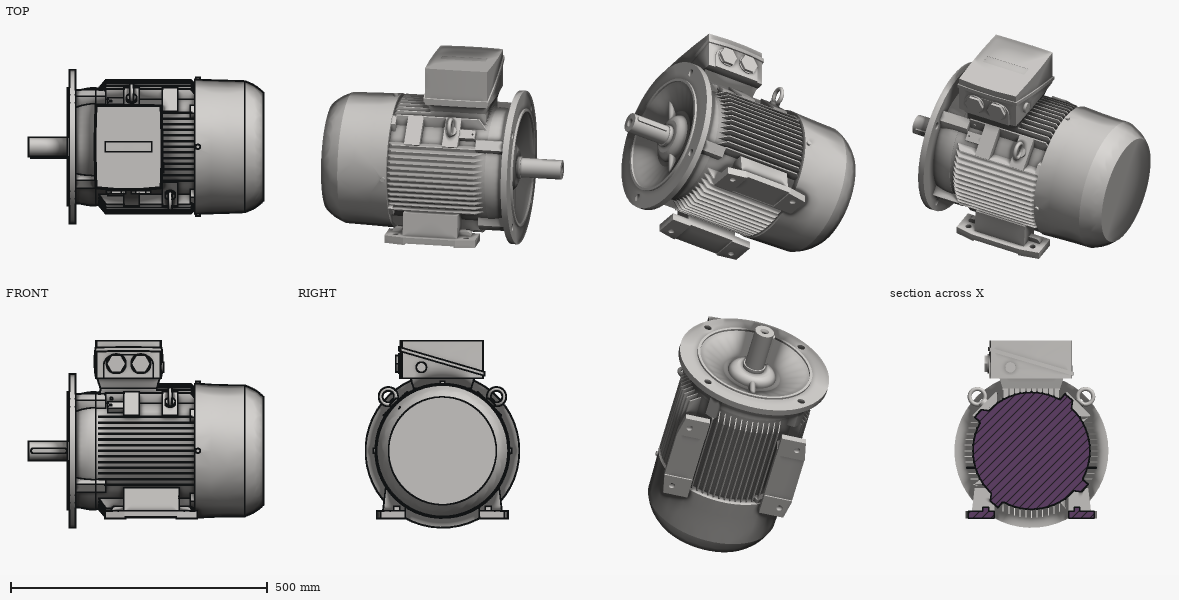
import cadquery as cq
import math


shaft_end_x = -80
spigot_x = -4
flange_back_x = 12
joint_x = 51
fin_start_x = 57
cover_x = 243.5
cover_shoulder_x = 341
cover_end_x = 378

shaft_radius = 19
collar_radius = 21.5
key_width = 10
key_length = 70
key_gap = 5
key_top_radius = 22
centre_hole_radius = 5
centre_hole_depth = 28
countersink_radius = 8.5
countersink_depth = 6

flange_radius = 150
spigot_radius = 115
bowl_radius = 110
bowl_rim_x = 0
bowl_floor_x = 22.5
bowl_floor_radius = 57
hub_radius = 48
hub_face_radius = 33
hub_face_x = 7.5
hub_bulge = 2
bolt_circle_radius = 132.5
bolt_hole_diameter = 15
barrel_front_radius = 109
barrel_mid_radius = 113.5
web_width = 12.5
web_front_x = 11.5
web_outer_radius = 95

lug_outline = [(-46, 88), (-65, 111), (-80.6, 98), (-76.5, 70)]
front_lug_end_x = 71
rear_lug_x = 235

core_radius = 114
fin_radius = 130.5
fin_pitch = 11
fins_each_side = 6
fin_thickness = 2
fin_front_run = 14
fin_rear_chamfer = 7.5
pad_face = 130
pad_depth = 45
pad_length = 30.5
pad_width = 65
front_pad_x = 121
rear_pad_x = 196
earth_face = 126
earth_start_x = 75
earth_width = 18.5
earth_depth = 25
earth_hole_diameter = 4
earth_hole_depth = 8
earth_hole_x = 80
earth_screw_radius = 2.5
earth_screw_height = 2
earth_screw_x = 81.5
earth_screw_z = 101.5

foot_bottom_z = -132
foot_top_z = -117
foot_start_x = 69
foot_end_x = 249
foot_outer_y = 128
foot_tip_y = 120.5
foot_inner_y = 72
foot_taper_front_x = 107
foot_taper_rear_x = 210
foot_relief = 3
foot_relief_inset = 2.5
foot_hole_diameter = 12
foot_hole_y = 108
foot_hole_xs = (89, 229)
leg_start_x = 105.5
leg_end_x = 213.5
leg_top_z = -72
leg_top_y = 110.5
leg_bottom_y = 116
rib_width = 12
rib_y = 89
rib_top_z = -107.5
rib_end_fillet = 8.5
rib_start_x = 81.5
rib_end_x = 238

cover_radius = 131
cover_shoulder_radius = 128
cover_end_radius = 105
cover_bulge = 2
cover_screw_x = 250
cover_screw_radius = 4.5
cover_screw_top = 135

box_x = 115
box_half_length = 62
box_end_bulge = 2
box_half_width = 78.5
box_front_bulge = 4
box_back_bulge = 1
box_bottom_z = 140.8
box_top_z = 214.5
neck_bottom_z = 121.5
neck_top_size = (122, 124)
neck_bottom_size = (110, 112)
lip_overhang = 2.5
lip_height = 7.5
lip_low_z = 149
lip_high_z = 198.5
entry_plate_y = -82.8
entry_plate_width = 97
entry_plate_top_z = 186.7
entry_plate_corner = 22
plug_z = 169.5
plug_spacing = 48
plug_flange_radius = 19
plug_flange_y = -85.2
plug_hex_diameter = 38
plug_head_y = -91
rear_plug_radius = 10
rear_plug_y = -41
rear_plug_z = 162.5
rear_plug_x = 184
badge_size = (90, 20)
badge_depth = 0.5

eye_ring_radius = 15
eye_wire_radius = 4
eye_collar_radius = 10
eye_collar_height = 6
eye_centre = 149

corner_angles = (0, 90, 180, 270)


def box_between(x0, x1, y0, y1, z0, z1):
    size = (x1 - x0, y1 - y0, z1 - z0)
    return cq.Workplane("XY").box(*size, centered=False).translate((x0, y0, z0))


def about_axis(body, angle):
    return body.rotate((0, 0, 0), (1, 0, 0), angle)


def corner_block(x0, x1, face, depth, width):
    """Block above the shaft whose outer face lies `face` from the axis."""
    return box_between(x0, x1, -width / 2, width / 2, face - depth, face)


def clamp_lugs(x0, x1):
    lug = cq.Workplane("YZ", origin=(x0, 0, 0)).polyline(lug_outline).close().extrude(x1 - x0)
    lugs = cq.Workplane("XY")
    for angle in corner_angles:
        lugs = lugs.add(about_axis(lug, angle))
    return lugs.combine()


def make_shaft():
    shaft = (
        cq.Workplane("YZ", origin=(shaft_end_x, 0, 0))
        .circle(shaft_radius)
        .extrude(joint_x - shaft_end_x)
    )
    collar = cq.Workplane("YZ").circle(collar_radius).extrude(joint_x)
    key = (
        cq.Workplane("XZ", origin=(shaft_end_x + key_gap + key_length / 2, 0, 0))
        .slot2D(key_length, key_width)
        .extrude(key_top_radius)
    )
    centre_hole = (
        cq.Workplane("XY")
        .moveTo(shaft_end_x, 0)
        .lineTo(shaft_end_x, countersink_radius)
        .lineTo(shaft_end_x + countersink_depth, centre_hole_radius)
        .lineTo(shaft_end_x + centre_hole_depth, centre_hole_radius)
        .lineTo(shaft_end_x + centre_hole_depth, 0)
        .close()
        .revolve(360, (0, 0, 0), (1, 0, 0))
    )
    return shaft.union(collar).union(key).cut(centre_hole)


def make_end_shield():
    hub_middle = (
        (hub_face_x + bowl_floor_x) / 2 - hub_bulge,
        (hub_face_radius + hub_radius) / 2 + hub_bulge,
    )
    shield = (
        cq.Workplane("XY")
        .moveTo(joint_x, collar_radius)
        .lineTo(hub_face_x, collar_radius)
        .lineTo(hub_face_x, hub_face_radius)
        .threePointArc(hub_middle, (bowl_floor_x, hub_radius))
        .lineTo(bowl_floor_x, bowl_floor_radius)
        .lineTo(bowl_rim_x, bowl_radius)
        .lineTo(spigot_x, bowl_radius)
        .lineTo(spigot_x, spigot_radius)
        .lineTo(0, spigot_radius)
        .lineTo(0, flange_radius)
        .lineTo(flange_back_x, flange_radius)
        .lineTo(flange_back_x, barrel_front_radius)
        .threePointArc(((flange_back_x + joint_x) / 2, barrel_mid_radius), (joint_x, spigot_radius))
        .close()
        .revolve(360, (0, 0, 0), (1, 0, 0))
    )
    shield = shield.union(clamp_lugs(flange_back_x, joint_x))

    nose_x = web_front_x + web_width / 2
    web = (
        cq.Workplane("XY", origin=(0, 0, hub_face_radius + web_width / 2))
        .moveTo(joint_x, web_width / 2)
        .lineTo(nose_x, web_width / 2)
        .threePointArc((web_front_x, 0), (nose_x, -web_width / 2))
        .lineTo(joint_x, -web_width / 2)
        .close()
        .extrude(web_outer_radius - hub_face_radius - web_width / 2)
    )
    shield = shield.union(web).union(about_axis(web, 180))

    bolt_offset = bolt_circle_radius * math.sqrt(2)
    bolt_holes = (
        cq.Workplane("YZ")
        .rect(bolt_offset, bolt_offset, forConstruction=True)
        .vertices()
        .circle(bolt_hole_diameter / 2)
        .extrude(flange_back_x)
    )
    return shield.cut(bolt_holes)


def cooling_fins():
    """Level fins on both sides and upright fins above and below, trimmed by one turned envelope."""
    slabs = cq.Workplane("XY")
    for index in range(-fins_each_side, fins_each_side + 1):
        low = index * fin_pitch - fin_thickness / 2
        high = low + fin_thickness
        level = box_between(fin_start_x, cover_x, -fin_radius, fin_radius, low, high)
        slabs = slabs.add(level).add(about_axis(level, 90))
    envelope = (
        cq.Workplane("XY")
        .moveTo(fin_start_x, 0)
        .lineTo(fin_start_x, core_radius)
        .lineTo(fin_start_x + fin_front_run, fin_radius)
        .lineTo(cover_x - fin_rear_chamfer, fin_radius)
        .lineTo(cover_x, fin_radius - fin_rear_chamfer)
        .lineTo(cover_x, 0)
        .close()
        .revolve(360, (0, 0, 0), (1, 0, 0))
    )
    return slabs.combine().intersect(envelope)


def corner_pads():
    """Pads for the eye bolts and earthing blocks, on both upper corners."""
    last_fin = fins_each_side * fin_pitch
    corner = box_between(0, cover_x, -pad_face, -last_fin, last_fin, pad_face)
    earth_end_x = front_pad_x - pad_length / 2
    pads = cq.Workplane("XY")
    for tilt in (45, -45):
        for middle in (front_pad_x, rear_pad_x):
            start = middle - pad_length / 2
            pad = corner_block(start, start + pad_length, pad_face, pad_depth, pad_width)
            pad = about_axis(pad, 45).intersect(corner)
            pads = pads.add(about_axis(pad, tilt - 45))
        earth = corner_block(earth_start_x, earth_end_x, earth_face, earth_depth, earth_width)
        screw_hole = (
            cq.Workplane("XY", origin=(earth_hole_x, 0, earth_face))
            .circle(earth_hole_diameter / 2)
            .extrude(-earth_hole_depth)
        )
        pads = pads.add(about_axis(earth.cut(screw_hole), tilt))
    return pads.combine()


def earth_screw():
    fin_face = fins_each_side * fin_pitch + fin_thickness / 2
    return (
        cq.Workplane("XZ", origin=(earth_screw_x, -fin_face, earth_screw_z))
        .circle(earth_screw_radius)
        .extrude(earth_screw_height)
    )


def make_foot():
    """The foot on the -Y side, with its leg and rib."""
    plate = (
        cq.Workplane("XY", origin=(0, 0, foot_bottom_z))
        .polyline([
            (foot_start_x, -foot_inner_y),
            (foot_start_x, -foot_tip_y),
            (foot_taper_front_x, -foot_outer_y),
            (foot_taper_rear_x, -foot_outer_y),
            (foot_end_x, -foot_tip_y),
            (foot_end_x, -foot_inner_y),
        ])
        .close()
        .extrude(foot_top_z - foot_bottom_z)
    )
    relief = box_between(
        foot_taper_front_x + foot_relief_inset, foot_taper_rear_x - foot_relief_inset,
        -foot_outer_y, -foot_inner_y,
        foot_bottom_z, foot_bottom_z + foot_relief,
    )
    holes = (
        cq.Workplane("XY", origin=(0, 0, foot_bottom_z))
        .pushPoints([(x, -foot_hole_y) for x in foot_hole_xs])
        .circle(foot_hole_diameter / 2)
        .extrude(foot_top_z - foot_bottom_z)
    )
    leg = (
        cq.Workplane("YZ", origin=(leg_start_x, 0, 0))
        .polyline([
            (-foot_inner_y, leg_top_z),
            (-leg_top_y, leg_top_z),
            (-leg_bottom_y, foot_top_z),
            (-foot_inner_y, foot_top_z),
        ])
        .close()
        .extrude(leg_end_x - leg_start_x)
    )
    rib = box_between(
        rib_start_x, rib_end_x, -rib_y - rib_width / 2, -rib_y + rib_width / 2, foot_top_z, rib_top_z
    )
    rib = rib.edges("|Y and >Z").fillet(rib_end_fillet)
    return plate.cut(relief).cut(holes).union(leg).union(rib)


def box_seat():
    """Raised seat below the terminal box neck."""
    length, width = neck_bottom_size
    seat_base_z = core_radius / 2
    return (
        cq.Workplane("XY", origin=(box_x, 0, seat_base_z))
        .rect(length, width)
        .extrude(neck_bottom_z - seat_base_z)
    )


def make_housing():
    core = (
        cq.Workplane("YZ", origin=(joint_x, 0, 0))
        .circle(core_radius)
        .extrude(cover_x - joint_x)
    )
    foot = make_foot()
    housing = core.union(cooling_fins()).union(box_seat())
    housing = housing.union(corner_pads()).union(earth_screw())
    housing = housing.union(clamp_lugs(joint_x, front_lug_end_x))
    housing = housing.union(clamp_lugs(rear_lug_x, cover_x).mirror("XY"))
    return housing.union(foot).union(foot.mirror("XZ"))


def make_fan_cover():
    arc_mid_x = (cover_shoulder_x + cover_end_x) / 2 + cover_bulge
    arc_mid_radius = (cover_shoulder_radius + cover_end_radius) / 2 + cover_bulge
    cover = (
        cq.Workplane("XY")
        .moveTo(cover_x, 0)
        .lineTo(cover_x, cover_radius)
        .lineTo(cover_shoulder_x, cover_shoulder_radius)
        .threePointArc((arc_mid_x, arc_mid_radius), (cover_end_x, cover_end_radius))
        .lineTo(cover_end_x, 0)
        .close()
        .revolve(360, (0, 0, 0), (1, 0, 0))
    )
    screw = (
        cq.Workplane("XY", origin=(cover_screw_x, 0, cover_screw_top))
        .circle(cover_screw_radius)
        .extrude(cover_shoulder_radius - cover_screw_top)
    )
    for angle in (-90, 0, 90):
        cover = cover.union(about_axis(screw, angle))
    return cover


def box_block(overhang):
    """Upright block with four slightly bulging sides, grown outwards by `overhang`."""
    half_length = box_half_length + overhang
    half_width = box_half_width + overhang
    return (
        cq.Workplane("XY", origin=(box_x, 0, box_bottom_z))
        .moveTo(-half_length, -half_width)
        .threePointArc((0, -half_width - box_front_bulge), (half_length, -half_width))
        .threePointArc((half_length + box_end_bulge, 0), (half_length, half_width))
        .threePointArc((0, half_width + box_back_bulge), (-half_length, half_width))
        .threePointArc((-half_length - box_end_bulge, 0), (-half_length, -half_width))
        .close()
        .extrude(box_top_z - box_bottom_z)
    )


def sloping_lip():
    reach_y = box_half_width + box_front_bulge + lip_overhang
    reach_x = box_half_length + box_end_bulge + lip_overhang
    slab = (
        cq.Workplane("YZ", origin=(box_x - reach_x, 0, 0))
        .polyline([
            (-reach_y, lip_high_z - lip_height / 2),
            (reach_y, lip_low_z - lip_height / 2),
            (reach_y, lip_low_z + lip_height / 2),
            (-reach_y, lip_high_z + lip_height / 2),
        ])
        .close()
        .extrude(2 * reach_x)
    )
    return box_block(lip_overhang).intersect(slab)


def cable_plug(x):
    flange = (
        cq.Workplane("XZ", origin=(x, entry_plate_y, plug_z))
        .circle(plug_flange_radius)
        .extrude(entry_plate_y - plug_flange_y)
    )
    head = (
        cq.Workplane("XZ", origin=(x, plug_flange_y, plug_z))
        .polygon(6, plug_hex_diameter)
        .extrude(plug_flange_y - plug_head_y)
    )
    return flange.union(head)


def make_terminal_box():
    neck = (
        cq.Workplane("XY", origin=(box_x, 0, neck_bottom_z))
        .rect(*neck_bottom_size)
        .workplane(offset=box_bottom_z - neck_bottom_z)
        .rect(*neck_top_size)
        .loft()
    )
    entry_plate = box_between(
        box_x - entry_plate_width / 2, box_x + entry_plate_width / 2,
        entry_plate_y, -box_half_width, box_bottom_z, entry_plate_top_z,
    )
    entry_plate = entry_plate.edges("|Y and >Z").fillet(entry_plate_corner)
    rear_plug = (
        cq.Workplane("YZ", origin=(rear_plug_x, rear_plug_y, rear_plug_z))
        .circle(rear_plug_radius)
        .extrude(box_x + box_half_length - rear_plug_x)
    )
    badge = (
        cq.Workplane("XY", origin=(box_x, 0, box_top_z))
        .rect(*badge_size)
        .extrude(-badge_depth)
    )
    box = box_block(0).union(sloping_lip()).union(neck).union(entry_plate).union(rear_plug)
    for side in (-1, 1):
        box = box.union(cable_plug(box_x + side * plug_spacing / 2))
    return box.cut(badge)


def make_eye_bolt(x, tilt):
    """Lifting eye on a corner pad; its base face rests on the pad."""
    base = cq.Workplane("XY", origin=(x, 0, pad_face)).circle(eye_collar_radius).extrude(eye_collar_height)
    ring = cq.Workplane(cq.Solid.makeTorus(
        eye_ring_radius, eye_wire_radius, cq.Vector(x, 0, eye_centre), cq.Vector(1, 0, 0)
    ))
    return about_axis(base.union(ring), tilt)


shaft = make_shaft()
end_shield = make_end_shield()
terminal_box = make_terminal_box()
housing = make_housing().cut(terminal_box)
fan_cover = make_fan_cover()
eye_bolts = [make_eye_bolt(rear_pad_x, 45), make_eye_bolt(front_pad_x, -45)]

result = cq.Compound.makeCompound([
    shaft.val(),
    end_shield.val(),
    housing.val(),
    fan_cover.val(),
    terminal_box.val(),
    *[bolt.val() for bolt in eye_bolts],
])